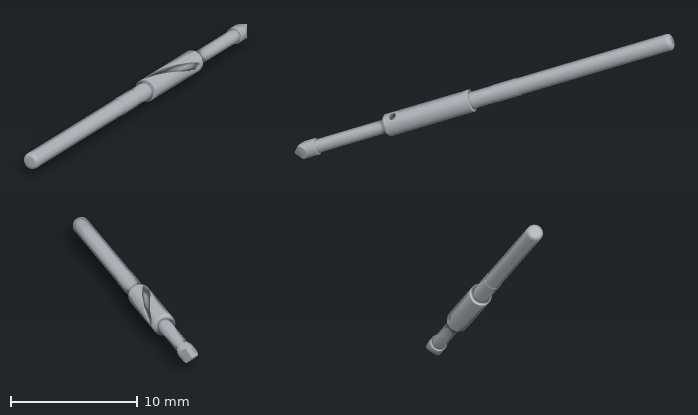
import cadquery as cq
import math

total_length = 33.0

shank_diameter = 1.35
shank_end_fillet = 0.33

collar_diameter = 1.42
collar_start = 13.45
collar_length = 2.0

sleeve_diameter = 1.8
sleeve_start = 17.52
sleeve_end = 25.0
sleeve_end_chamfer = 0.2

neck_diameter = 1.1
head_diameter = 1.35
head_length = 2.0
point_half_angle = 30.0
facet_count = 3

slot_width = 0.65
hole_station = 24.05
slot_travel = 6.0
slot_turn = 120.0

head_start = total_length - head_length
sleeve_length = sleeve_end - sleeve_start
slot_end_station = hole_station - slot_travel


def rod(diameter, start, length):
    """Solid cylinder on the Y axis, from `start` towards +Y."""
    return cq.Workplane("XZ", origin=(0, start, 0)).circle(diameter / 2).extrude(-length)


def radial_cutter(angle, station):
    """Round cutter pointing outward from the axis; angle turns from +X to +Z."""
    turn = math.radians(angle)
    direction = cq.Vector(math.cos(turn), 0, math.sin(turn))
    start = cq.Vector(0, station, 0)
    cutter = cq.Solid.makeCylinder(slot_width / 2, sleeve_diameter, start, direction)
    return cq.Workplane(obj=cutter)


def slot_cutter():
    """Helical slot: a radial bar twisted along the axis, closed by a round end at each end."""
    surface_travel = math.radians(slot_turn) * sleeve_diameter / 2
    helix_angle = math.atan2(surface_travel, slot_travel)
    bar_width = slot_width / math.cos(helix_angle)
    bar = (
        cq.Workplane("XZ", origin=(0, hole_station, 0))
        .moveTo(0, -bar_width / 2)
        .lineTo(sleeve_diameter, -bar_width / 2)
        .lineTo(sleeve_diameter, bar_width / 2)
        .lineTo(0, bar_width / 2)
        .close()
        .twistExtrude(slot_travel, slot_turn)
    )
    first_end = radial_cutter(0, hole_station)
    last_end = radial_cutter(slot_turn, slot_end_station)
    return bar.union(first_end).union(last_end)


def slotted_sleeve():
    """Sleeve with a chamfered front rim, cut by the hole and the helical slot."""
    sleeve = rod(sleeve_diameter, sleeve_start, sleeve_length)
    sleeve = sleeve.faces(">Y").edges().chamfer(sleeve_end_chamfer)
    return sleeve.cut(radial_cutter(180, hole_station)).cut(slot_cutter())


def polygon_face(corners):
    """Flat face bounded by straight edges through the given corners."""
    return cq.Face.makeFromWires(cq.Wire.makePolygon(corners, close=True))


def pointed_head():
    """Round head ground to a three-sided point with one ridge facing -X."""
    facet_inradius = head_length * math.tan(math.radians(point_half_angle))
    corner_radius = facet_inradius / math.cos(math.pi / facet_count)
    base = cq.Vector(0, head_start, 0)
    apex = cq.Vector(0, total_length, 0)
    corners = []
    for i in range(facet_count):
        turn = math.pi + i * 2 * math.pi / facet_count
        corners.append(base + cq.Vector(math.cos(turn), 0, math.sin(turn)) * corner_radius)
    faces = [polygon_face(corners)]
    for i in range(facet_count):
        faces.append(polygon_face([corners[i], corners[(i + 1) % facet_count], apex]))
    pyramid = cq.Workplane(obj=cq.Solid.makeSolid(cq.Shell.makeShell(faces)))
    return rod(head_diameter, head_start, head_length).intersect(pyramid)


shank = rod(shank_diameter, 0, sleeve_start).faces("<Y").edges().fillet(shank_end_fillet)
collar = rod(collar_diameter, collar_start, collar_length)
neck = rod(neck_diameter, sleeve_start, head_start - sleeve_start)

body = shank.union(collar).union(neck).union(slotted_sleeve()).union(pointed_head())
result = body.solids()